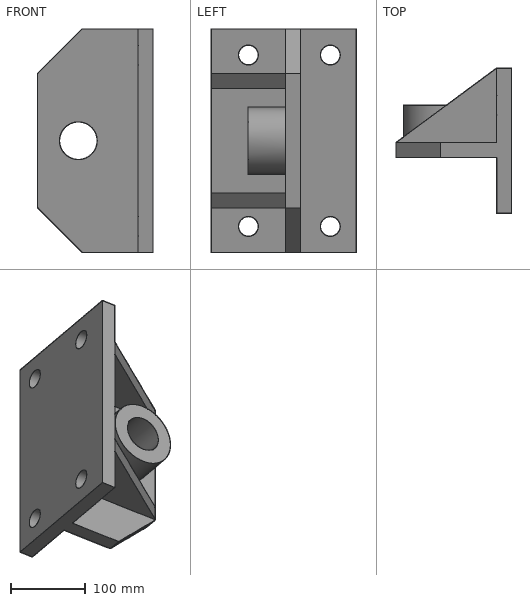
import cadquery as cq

depth = 155.0
width = 195.0
height = 300.0
thickness = 20.0

web_front = 75.0
web_back = web_front + thickness
corner_cut = 60.0

boss_diameter = 90.0
boss_length = 50.0
bore_diameter = 50.0
bore_x = 55.0
bore_z = height / 2

mount_diameter = 26.0
mount_inset = 35.0
mount_back_inset = 50.0

plate_face = depth - thickness


def make_base_plate():
    return cq.Workplane("XY").box(thickness, width, height, centered=False).translate((plate_face, 0, 0))


def make_web():
    outline = [
        (plate_face, 0),
        (corner_cut, 0),
        (0, corner_cut),
        (0, height - corner_cut),
        (corner_cut, height),
        (plate_face, height),
    ]
    return cq.Workplane("XZ", origin=(0, web_back, 0)).polyline(outline).close().extrude(thickness)


def make_rib(bottom):
    """Triangular rib from the web's free edge to the plate's back edge."""
    outline = [(0, web_back), (plate_face, web_back), (plate_face, width)]
    return cq.Workplane("XY", origin=(0, 0, bottom)).polyline(outline).close().extrude(thickness)


def make_cylinder_along_y(diameter, start, length):
    plane = cq.Workplane("XZ", origin=(bore_x, start, bore_z))
    return plane.circle(diameter / 2).extrude(-length)


def make_mount_holes():
    plane = cq.Workplane("YZ", origin=(plate_face, 0, 0))
    centers = [
        (y, z)
        for y in (mount_inset, width - mount_back_inset)
        for z in (mount_inset, height - mount_inset)
    ]
    return plane.pushPoints(centers).circle(mount_diameter / 2).extrude(thickness)


result = make_base_plate().union(make_web())
for rib_bottom in (corner_cut, height - corner_cut - thickness):
    result = result.union(make_rib(rib_bottom))
result = result.union(make_cylinder_along_y(boss_diameter, web_back, boss_length))
result = result.cut(make_cylinder_along_y(bore_diameter, web_front, thickness + boss_length))
result = result.cut(make_mount_holes())